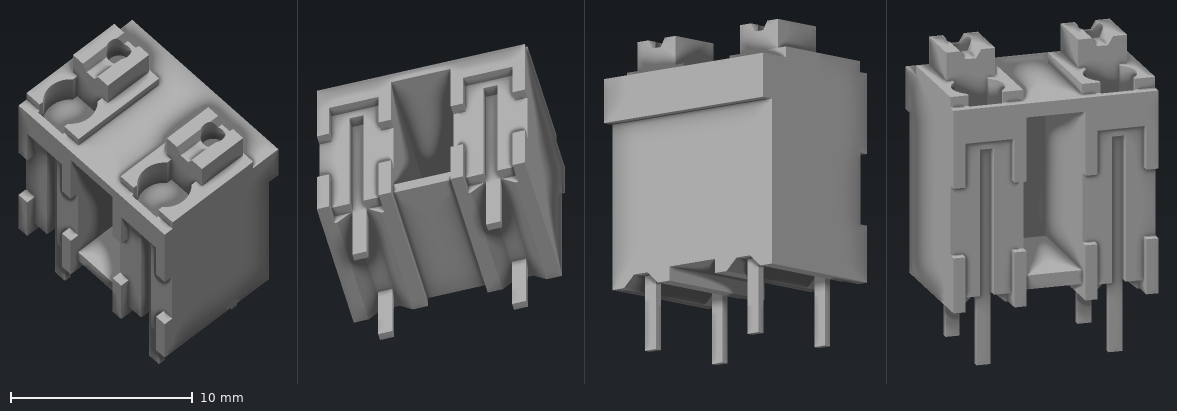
import cadquery as cq


width = 11.85
depth = 8.5
total_height = 17.45
housing_bottom = 3.5
housing_top = 15.2
pole_pitch = 7.63
pole_centers = [-pole_pitch / 2, pole_pitch / 2]
cell_width = width - pole_pitch

flange_overhang = 0.72
flange_bottom = 12.74
body_back = depth - flange_overhang

recess_depth = 0.55
recess_width = 2.83
recess_top = 13.23
side_notch_bottom = 6.68
side_notch_top = 10.7

plate_thickness = 0.8
plate_bottom = 4.3
plate_top = plate_bottom + plate_thickness
gap_width = width - 2 * cell_width
gap_top = housing_top - plate_thickness
back_wall = 0.7

pin_width = 0.8
pin_thickness = 0.4
front_pin_face = 1.15
rear_pin_face = 6.6
pin_top = plate_top
slot_top = 12.62

channel_top = 4.17
channel_top_width = 1.01
channel_bottom_width = 2.51

pad_front = 0.6
pad_back = 6.61
pad_top = 15.81
entry_offset = -0.05
guide_width = 2.0
entry_diameter = 3.0
entry_center = 1.97
guide_front = entry_center - entry_diameter / 2
entry_floor = 13.89

head_width = recess_width
actuator_front = 3.42
actuator_back = 6.51
groove_top_width = 1.22
groove_bottom_width = 0.61
groove_depth = 0.49
dimple_diameter = 1.41
dimple_center = 5.57
dimple_floor = pad_top


def block(x_center, x_size, y_range, z_range):
    """Box centred on x_center, spanning the given Y and Z ranges."""
    y_size = y_range[1] - y_range[0]
    z_size = z_range[1] - z_range[0]
    corner = (x_center - x_size / 2, y_range[0], z_range[0])
    return cq.Workplane("XY").box(x_size, y_size, z_size, centered=False).translate(corner)


def trapezoid_bar(x_center, widths, y_range, z_range):
    """Bar along Y with a symmetric trapezoid section; widths are at the bottom and the top."""
    bottom_half, top_half = widths[0] / 2, widths[1] / 2
    return (
        cq.Workplane("XZ", origin=(x_center, y_range[0], 0))
        .moveTo(-bottom_half, z_range[0])
        .lineTo(bottom_half, z_range[0])
        .lineTo(top_half, z_range[1])
        .lineTo(-top_half, z_range[1])
        .close()
        .extrude(y_range[0] - y_range[1])
    )


def upright_cylinder(x_center, y_center, diameter, z_range):
    """Vertical cylinder between two heights."""
    return (
        cq.Workplane("XY", origin=(x_center, y_center, z_range[0]))
        .circle(diameter / 2)
        .extrude(z_range[1] - z_range[0])
    )


def make_shell():
    """Housing block with the rear flange, side notches and the gap between the cells."""
    shell = block(0, width, (0, body_back), (housing_bottom, housing_top))
    shell = shell.union(block(0, width, (0, depth), (flange_bottom, housing_top)))
    shell = shell.cut(block(0, width, (0, recess_depth), (side_notch_bottom, side_notch_top)))

    gap_back = body_back - back_wall
    shell = shell.cut(block(0, gap_width, (0, gap_back), (plate_top, gap_top)))
    shell = shell.cut(block(0, gap_width, (0, recess_depth), (housing_bottom, plate_top)))
    return shell.cut(block(0, gap_width, (0, body_back), (housing_bottom, plate_bottom)))


def front_cutter(x):
    """Wide front recess, pin slot and bevelled underside channel of one cell."""
    recess = block(x, recess_width, (0, recess_depth), (housing_bottom, recess_top))
    slot = block(x, pin_width, (0, front_pin_face), (housing_bottom, slot_top))
    web_relief = block(x, recess_width, (0, front_pin_face), (housing_bottom, channel_top))
    channel = trapezoid_bar(
        x,
        (channel_bottom_width, channel_top_width),
        (front_pin_face, body_back),
        (housing_bottom, channel_top),
    )
    return recess.union(slot).union(web_relief).union(channel)


def top_cutter(x):
    """Round wire entry joined with the straight guide that holds the actuator stem."""
    heights = (entry_floor, pad_top)
    guide = block(x + entry_offset, guide_width, (guide_front, actuator_back), heights)
    return guide.union(upright_cylinder(x + entry_offset, entry_center, entry_diameter, heights))


def make_housing():
    """Complete housing with pads, entries and sockets for the pins."""
    housing = make_shell()
    for x in pole_centers:
        housing = housing.union(block(x, cell_width, (pad_front, pad_back), (housing_top, pad_top)))
        housing = housing.cut(front_cutter(x))
        housing = housing.cut(top_cutter(x))
        for face in (front_pin_face, rear_pin_face):
            housing = housing.cut(make_pin(x, face))
    return housing


def make_pin(x, face):
    """Flat solder pin whose front face lies at Y = face."""
    return block(x, pin_width, (face, face + pin_thickness), (0, pin_top))


def make_actuator(x):
    """Push actuator: stem in the guide, wider head on the pad, groove and dimple on top."""
    y_range = (actuator_front, actuator_back)
    stem = block(x + entry_offset, guide_width, y_range, (entry_floor, pad_top))
    head = block(x, head_width, y_range, (pad_top, total_height))
    groove = trapezoid_bar(
        x,
        (groove_bottom_width, groove_top_width),
        y_range,
        (total_height - groove_depth, total_height),
    )
    dimple = upright_cylinder(x, dimple_center, dimple_diameter, (dimple_floor, total_height))
    return stem.union(head).cut(groove).cut(dimple)


housing = make_housing()
actuators = [make_actuator(x) for x in pole_centers]
pins = [make_pin(x, face) for x in pole_centers for face in (front_pin_face, rear_pin_face)]

result = cq.Compound.makeCompound(
    [housing.val(), *[actuator.val() for actuator in actuators], *[pin.val() for pin in pins]]
)